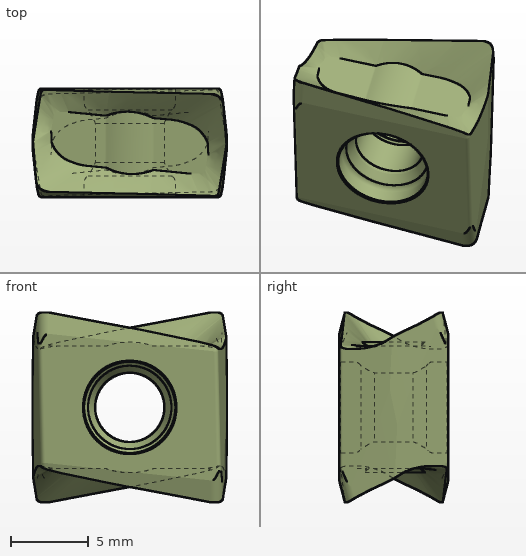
import cadquery as cq

length = 12.52
depth = 7.01
height = 12.21
half_depth = depth / 2
half_height = height / 2

end_ridge_high = (-length / 2, 0.24, 1.13)
end_ridge_low = (-length / 2, -0.24, -1.13)
end_facet_joint = (-6.2, -0.84, 0.63)
end_top = (-6.2, 0.0, 4.58)
nose_flank_foot = (-6.0, -2.65, 4.92)
side_high = (-5.88, -3.22, 4.01)
side_low = (-5.71, -3.22, -3.5)
cutting_edge_start = (-5.2, -3.14, half_height)
face_edge_high = (-5.22, -half_depth, 4.71)
face_edge_low = (5.32, -half_depth, 3.59)
quarter_flats = {
    "end facet": (end_ridge_high, end_ridge_low, end_facet_joint),
    "side": (end_ridge_low, side_high, side_low),
    "nose flank": (end_top, end_facet_joint, nose_flank_foot),
    "front flank": (cutting_edge_start, face_edge_high, face_edge_low),
}
nose_radius = 0.75
side_edge_radius = 0.29

floor_z = 3.93
hump_top_z = 4.2
hump_foot_x = 1.51
hump_foot_radius = 0.31
wall_overshoot = 1.2
roof_z = 0.65 * length

pocket_half = [
    ((-3.75, -1.21, floor_z), (-6.02, -2.5, 5.85)),
    ((-2.75, -1.48, floor_z), cutting_edge_start),
    ((-hump_foot_x, -1.59, floor_z), (-3.6, -3.19, 5.81)),
    ((hump_foot_x, -1.74, floor_z), (1.29, -3.29, 4.87)),
    ((3.9, -1.98, floor_z), (4.5, -3.35, 4.2)),
    ((4.46, -1.98, floor_z), (5.3, -3.4, 4.0)),
    ((4.87, -1.72, floor_z), (5.81, -3.19, 3.74)),
    ((4.91, -1.48, floor_z), (5.88, -2.38, 3.74)),
    ((5.05, -0.74, floor_z), (6.2, 0.0, 4.58)),
    ((5.01, 0.0, floor_z), (6.15, 0.6, 4.88)),
]
nose_start, hump_start, corner_start, dip_start, bend_start = 0, 2, 5, 7, 9
floor_bows = {
    nose_start: (-3.28, -1.38, floor_z),
    hump_start: (0.13, -2.0, hump_top_z),
    corner_start: (4.72, -1.92, floor_z),
    bend_start: (4.6, 0.68, floor_z),
}
rim_bows = {
    nose_start: (-5.73, -2.95, 6.08),
    corner_start: (5.6, -3.38, 3.87),
    dip_start: (6.07, -1.13, 3.98),
}

mouth_radius = 3.0
counterbore_radius = 2.93
mouth_chamfer = mouth_radius - counterbore_radius
counterbore_end_y = -2.54
seat_radius = 2.68
seat_end_y = -2.12
cone_large_radius = 2.59
cone_start_y = -1.98
cone_small_radius = 2.3
cone_end_y = -1.49
bore_radius = 2.22
bore_start_y = -1.25


def turned_copies(points):
    """The points as they are, and after half a turn about X, Y and Z."""
    for sx, sy, sz in ((1, 1, 1), (1, -1, -1), (-1, 1, -1), (-1, -1, 1)):
        yield [(sx * x, sy * y, sz * z) for x, y, z in points]


def trim_by_flat(block, points):
    """Remove what lies outside the plane through three points."""
    a, b, c = (cq.Vector(*point) for point in points)
    outward = (b - a).cross(c - a)
    if outward.dot(a) < 0:
        outward = -outward
    waste = cq.Workplane(cq.Plane(a, normal=outward)).rect(4 * length, 4 * length).extrude(length)
    return block.cut(waste)


def trim_all_quarters(block, flat_names):
    for name in flat_names:
        for points in turned_copies(quarter_flats[name]):
            block = trim_by_flat(block, points)
    return block


def upright_corner_edges(block):
    """The nearly vertical edges where the ends meet the front and back."""
    found = []
    for edge in block.edges().vals():
        middle = edge.Center()
        is_upright = abs(edge.tangentAt(0.5).z) > 0.9
        at_corner = abs(middle.x) > 0.4 * length and abs(middle.y) > 0.4 * depth
        if is_upright and at_corner:
            found.append(edge)
    return found


def at_nose(edge):
    """Noses stand at the four corners where x * y * z is positive."""
    middle = edge.Center()
    return middle.x * middle.y * middle.z > 0


def make_blank():
    """Side edges get a small round; each nose gets a larger one that runs out into the side edge."""
    sharp = trim_all_quarters(cq.Workplane("XY").box(1.2 * length, depth, height), quarter_flats)
    side_rounded = sharp.newObject(upright_corner_edges(sharp)).fillet(side_edge_radius)

    oversize = cq.Workplane("XY").box(1.2 * length, 1.5 * depth, 1.2 * height)
    wedge = trim_all_quarters(oversize, ("nose flank", "front flank"))
    nose_edges = [edge for edge in upright_corner_edges(wedge) if at_nose(edge)]
    nose_rounded = wedge.newObject(nose_edges).fillet(nose_radius)
    return side_rounded.intersect(nose_rounded)


def half_turn_about_z(point):
    x, y, z = point
    return (-x, -y, z)


def midpoint(a, b):
    return tuple((p + q) / 2 for p, q in zip(a, b))


def beyond_rim(floor_point, rim_point):
    return tuple(f + wall_overshoot * (r - f) for f, r in zip(floor_point, rim_point))


def line(start, end):
    return cq.Edge.makeLine(cq.Vector(*start), cq.Vector(*end))


def arc(start, middle, end):
    return cq.Edge.makeThreePointArc(cq.Vector(*start), cq.Vector(*middle), cq.Vector(*end))


def flat_face(edges):
    return cq.Face.makeFromWires(cq.Wire.assembleEdges(edges))


def with_opposite_half(edges):
    return edges + [edge.rotate(cq.Vector(0, 0, 0), cq.Vector(0, 0, 1), 180) for edge in edges]


def pocket_loops():
    """Edges around the floor, just past the rim, and around the roof above it."""
    first_floor, first_rim = pocket_half[0]
    closing_station = (half_turn_about_z(first_floor), half_turn_about_z(first_rim))
    stations = pocket_half + [closing_station]
    floor, rim, roof = [], [], []
    for i, (floor_start, rim_start) in enumerate(pocket_half):
        floor_end, rim_end = stations[i + 1]
        outer_start = beyond_rim(floor_start, rim_start)
        outer_end = beyond_rim(floor_end, rim_end)
        if i in floor_bows:
            floor.append(arc(floor_start, floor_bows[i], floor_end))
        else:
            floor.append(line(floor_start, floor_end))
        if i in rim_bows:
            floor_middle = floor_bows.get(i, midpoint(floor_start, floor_end))
            rim.append(arc(outer_start, beyond_rim(floor_middle, rim_bows[i]), outer_end))
        else:
            rim.append(line(outer_start, outer_end))
        roof.append(line((*outer_start[:2], roof_z), (*outer_end[:2], roof_z)))
    return [with_opposite_half(edges) for edges in (floor, rim, roof)]


def make_pocket_cutter():
    floor, rim, roof = pocket_loops()
    faces = [flat_face(roof)]
    for floor_edge, rim_edge, roof_edge in zip(floor, rim, roof):
        faces.append(cq.Face.makeRuledSurface(floor_edge, rim_edge))
        faces.append(cq.Face.makeRuledSurface(rim_edge, roof_edge))

    front_left = pocket_half[hump_start][0]
    front_right = pocket_half[hump_start + 1][0]
    back_left = half_turn_about_z(front_right)
    back_right = half_turn_about_z(front_left)
    back_arc = arc(back_left, half_turn_about_z(floor_bows[hump_start]), back_right)
    faces.append(cq.Face.makeRuledSurface(floor[hump_start], back_arc))
    opposite_hump = hump_start + len(pocket_half)
    right_floor = floor[hump_start + 1:opposite_hump]
    left_floor = floor[opposite_hump + 1:] + floor[:hump_start]
    faces.append(flat_face(right_floor + [line(back_right, front_right)]))
    faces.append(flat_face(left_floor + [line(front_left, back_left)]))
    return cq.Workplane(cq.Solid.makeSolid(cq.Shell.makeShell(faces)))


def round_hump_feet(part):
    """Blend the hump into the pocket floors."""
    feet = []
    tolerance = 0.01
    for edge in part.edges().vals():
        middle = edge.Center()
        at_foot = abs(abs(middle.x) - hump_foot_x) < tolerance
        on_floor = abs(abs(middle.z) - floor_z) < tolerance
        if at_foot and on_floor:
            feet.append(edge)
    return part.newObject(feet).fillet(hump_foot_radius)


def make_hole_cutter():
    """The front half of the hole, turned about the Y axis."""
    return (
        cq.Workplane("XY")
        .moveTo(0, -half_depth)
        .lineTo(mouth_radius, -half_depth)
        .lineTo(counterbore_radius, -half_depth + mouth_chamfer)
        .lineTo(counterbore_radius, counterbore_end_y)
        .tangentArcPoint((seat_radius, seat_end_y), relative=False)
        .lineTo(cone_large_radius, cone_start_y)
        .lineTo(cone_small_radius, cone_end_y)
        .lineTo(bore_radius, bore_start_y)
        .lineTo(bore_radius, 0)
        .lineTo(0, 0)
        .close()
        .revolve(360, (0, 0, 0), (0, 1, 0))
    )


result = make_blank()
for cutter in (make_pocket_cutter(), make_hole_cutter()):
    opposite_cutter = cutter.rotate((0, 0, 0), (1, 0, 0), 180)
    result = result.cut(cutter).cut(opposite_cutter)
result = round_hump_feet(result)